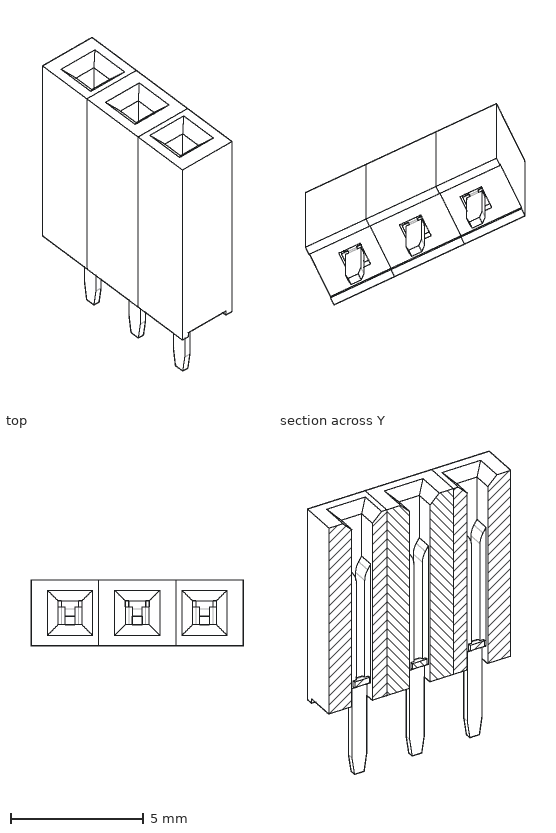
import cadquery as cq
import math


positions = 3
pitch = 2.54
full_width = 2.93
half_width = full_width / 2
inner_margin = pitch - half_width

depth = 2.5
housing_height = 8.5
foot_height = 0.2
foot_depth = 0.31

cavity_size = 0.9
funnel_size = 1.7
funnel_depth = (funnel_size - cavity_size) / 2

sheet_thickness = 0.26
pin_width = 0.65
pin_length = 3.0
tip_width = 0.43
tip_length = 0.78

shoulder_tilt = math.radians(10)
bend_inner_radius = 0.06
bend_outer_radius = bend_inner_radius + sheet_thickness
bend_height = 0.92

arm_rear_y = 0.22
arm_top_height = 6.21
arm_bend_radius = 0.8
lead_in_tilt = math.radians(57)


def housing_block(x_left, x_right):
    """Block between two X planes, standing on a front and a rear foot."""
    width = x_right - x_left
    x_middle = (x_left + x_right) / 2
    block = cq.Workplane("XY").box(width, depth, housing_height, centered=(True, True, False))
    channel = cq.Workplane("XY").box(
        width, depth - 2 * foot_depth, foot_height, centered=(True, True, False)
    )
    return block.cut(channel).translate((x_middle, 0, 0))


def contact_cavity():
    """Square through hole that widens into a funnel at the top."""
    shaft = cq.Workplane("XY").rect(cavity_size, cavity_size).extrude(housing_height)
    funnel = (
        cq.Workplane("XY", origin=(0, 0, housing_height - funnel_depth))
        .rect(cavity_size, cavity_size)
        .workplane(offset=funnel_depth)
        .rect(funnel_size, funnel_size)
        .loft(ruled=True)
    )
    return shaft.union(funnel)


def solder_pin():
    """Flat pin with a tapered tip, reaching up to the bend of the shoulder."""
    outline = [
        (tip_width / 2, -pin_length),
        (pin_width / 2, tip_length - pin_length),
        (pin_width / 2, bend_height),
        (-pin_width / 2, bend_height),
        (-pin_width / 2, tip_length - pin_length),
        (-tip_width / 2, -pin_length),
    ]
    return cq.Workplane("XZ").polyline(outline).close().extrude(sheet_thickness / 2, both=True)


def shoulder():
    """Bend at the top of the pin and the tilted plate from there to the rear wall."""
    front_y = -sheet_thickness / 2
    axis_y = front_y + bend_outer_radius
    rear_y = cavity_size / 2

    def bend_point(radius, tilt):
        return (axis_y - radius * math.sin(tilt), bend_height + radius * math.cos(tilt))

    def rear_point(start):
        return (rear_y, start[1] + (rear_y - start[0]) * math.tan(shoulder_tilt))

    middle_tilt = (shoulder_tilt + math.pi / 2) / 2
    plate_top = bend_point(bend_outer_radius, shoulder_tilt)
    plate_bottom = bend_point(bend_inner_radius, shoulder_tilt)
    return (
        cq.Workplane("YZ")
        .moveTo(front_y, bend_height)
        .threePointArc(bend_point(bend_outer_radius, middle_tilt), plate_top)
        .lineTo(*rear_point(plate_top))
        .lineTo(*rear_point(plate_bottom))
        .lineTo(*plate_bottom)
        .threePointArc(
            bend_point(bend_inner_radius, middle_tilt), (axis_y - bend_inner_radius, bend_height)
        )
        .close()
        .extrude(pin_width / 2, both=True)
    )


def spring_arm():
    """Left arm along the cavity wall, with a sloped lead-in rounded into its contact face."""
    wall_x = -cavity_size / 2
    face_x = wall_x + sheet_thickness
    axis_x = face_x - arm_bend_radius

    slope_end_x = axis_x + arm_bend_radius * math.sin(lead_in_tilt)
    slope_end_z = arm_top_height - (slope_end_x - wall_x) * math.tan(lead_in_tilt)
    axis_z = slope_end_z - arm_bend_radius * math.cos(lead_in_tilt)

    middle_tilt = (lead_in_tilt + math.pi / 2) / 2
    arc_middle = (
        axis_x + arm_bend_radius * math.sin(middle_tilt),
        axis_z + arm_bend_radius * math.cos(middle_tilt),
    )
    arm_depth = arm_rear_y + cavity_size / 2
    return (
        cq.Workplane("XZ", origin=(0, arm_rear_y, 0))
        .moveTo(wall_x, bend_height)
        .lineTo(wall_x, arm_top_height)
        .lineTo(slope_end_x, slope_end_z)
        .threePointArc(arc_middle, (face_x, axis_z))
        .lineTo(face_x, bend_height)
        .close()
        .extrude(arm_depth)
    )


def contact():
    """Pin, shoulder and the two mirrored spring arms."""
    left_arm = spring_arm()
    right_arm = left_arm.mirror("YZ")
    return solder_pin().union(shoulder()).union(left_arm).union(right_arm)


def socket_module(index):
    """One position of the strip: housing block with its contact joined to the cavity walls."""
    contact_x = (index - (positions - 1) / 2) * pitch
    left_margin = inner_margin if index == positions - 1 else half_width
    right_margin = inner_margin if index == 0 else half_width
    block = housing_block(-left_margin, right_margin)
    return block.cut(contact_cavity()).union(contact()).translate((contact_x, 0, 0))


modules = [socket_module(index) for index in range(positions)]

result = cq.Compound.makeCompound([module.val() for module in modules])